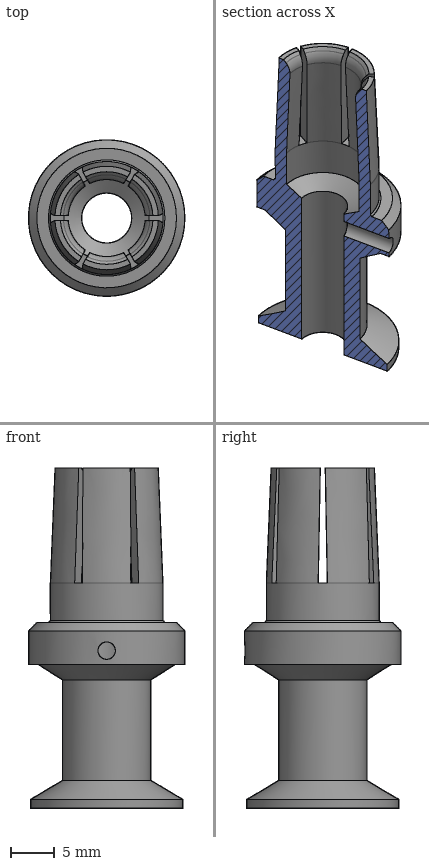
import cadquery as cq
import math

height = 39.1
rim_height = 1.0
foot_top = 3.2
neck_top = 14.75
flange_bottom = 16.5
flange_top = 21.35
seat_top = 21.6
slot_floor = 25.9
bore_floor = 21.4

foot_radius = 8.75
neck_radius = 5.1
flange_radius = 9.0
flange_cone_radius = 7.85
flange_chamfer = 0.98
seat_radius = 6.7
collet_radius = 6.5
collet_tip_radius = 5.95

hole_radius = 2.85
socket_radius = 4.9
throat_radius = 4.4
mouth_radius = 5.3
mouth_chamfer = 0.35
lip_radius = 1.8
funnel_angle = 30.0

finger_count = 6
slot_tip_width = 0.55
slot_floor_width = 1.0

pin_hole_diameter = 2.0
pin_hole_level = 18.1


def turn(profile):
    return profile.close().revolve(360, (0, 0, 0), (0, 1, 0))


def make_body():
    """Foot, neck, flange and tapered collet as one turned solid."""
    return turn(
        cq.Workplane("XZ")
        .lineTo(foot_radius, 0)
        .lineTo(foot_radius, rim_height)
        .lineTo(neck_radius, foot_top)
        .lineTo(neck_radius, neck_top)
        .lineTo(flange_cone_radius, flange_bottom)
        .lineTo(flange_radius, flange_bottom)
        .lineTo(flange_radius, flange_top - flange_chamfer)
        .lineTo(flange_radius - flange_chamfer, flange_top)
        .lineTo(seat_radius, flange_top)
        .lineTo(collet_radius, seat_top)
        .lineTo(collet_radius, slot_floor)
        .lineTo(collet_tip_radius, height)
        .lineTo(0, height)
    )


def make_bore():
    """Through hole, funnel and tapered socket with a rounded mouth."""
    lip_top_radius = mouth_radius - mouth_chamfer
    lip_top = height - mouth_chamfer
    lip_angle = math.acos(1 - (lip_top_radius - throat_radius) / lip_radius)
    throat_level = lip_top - lip_radius * math.sin(lip_angle)
    lip_middle = (
        throat_radius + lip_radius * (1 - math.cos(lip_angle / 2)),
        throat_level + lip_radius * math.sin(lip_angle / 2),
    )
    funnel_depth = (socket_radius - hole_radius) * math.tan(math.radians(funnel_angle))
    return turn(
        cq.Workplane("XZ")
        .lineTo(hole_radius, 0)
        .lineTo(hole_radius, bore_floor - funnel_depth)
        .lineTo(socket_radius, bore_floor)
        .lineTo(socket_radius, slot_floor)
        .lineTo(throat_radius, throat_level)
        .threePointArc(lip_middle, (lip_top_radius, lip_top))
        .lineTo(mouth_radius, height)
        .lineTo(0, height)
    )


def make_slot(angle):
    """One radial slot that narrows towards the tip of the collet."""
    half_floor = slot_floor_width / 2
    half_tip = slot_tip_width / 2
    return (
        cq.Workplane("YZ")
        .polyline([
            (-half_floor, slot_floor),
            (half_floor, slot_floor),
            (half_tip, height),
            (-half_tip, height),
        ])
        .close()
        .extrude(flange_radius)
        .rotate((0, 0, 0), (0, 0, 1), angle)
    )


def make_pin_hole():
    """Radial hole from the -Y side of the flange into the through hole."""
    return (
        cq.Workplane("XZ")
        .center(0, pin_hole_level)
        .circle(pin_hole_diameter / 2)
        .extrude(flange_radius)
    )


result = make_body().cut(make_bore()).cut(make_pin_hole())
for finger in range(finger_count):
    result = result.cut(make_slot(finger * 360 / finger_count))